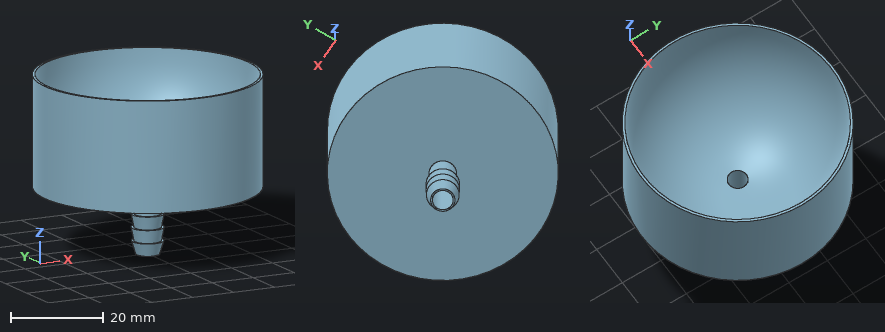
import cadquery as cq

cup_diameter = 50.0
cup_height = cup_diameter / 2
rim_width = 0.6
bowl_radius = cup_diameter / 2 - rim_width

stem_diameter = 6.0
stem_length = 15.0
bore_diameter = 4.5

barb_count = 3
barb_height = 3.0
barb_top_diameter = 7.25
barb_bottom_diameter = 6.0
tip_top_diameter = 7.1
tip_bottom_diameter = 5.25

overlap = 0.5
total_height = stem_length + cup_height


def make_barb(bottom_z, bottom_diameter, top_diameter):
    """Return a cone that widens upward from bottom_z."""
    return cq.Workplane(
        cq.Solid.makeCone(
            bottom_diameter / 2,
            top_diameter / 2,
            barb_height,
            pnt=cq.Vector(0, 0, bottom_z),
        )
    )


cup = cq.Workplane("XY", origin=(0, 0, stem_length)).circle(cup_diameter / 2).extrude(cup_height)

stem = (
    cq.Workplane("XY", origin=(0, 0, barb_height))
    .circle(stem_diameter / 2)
    .extrude(stem_length - barb_height + overlap)
)

body = cup.union(stem).union(make_barb(0, tip_bottom_diameter, tip_top_diameter))
for index in range(1, barb_count):
    body = body.union(make_barb(index * barb_height, barb_bottom_diameter, barb_top_diameter))

bowl = cq.Workplane("XY", origin=(0, 0, total_height)).sphere(bowl_radius)
bore = cq.Workplane("XY").circle(bore_diameter / 2).extrude(total_height)

result = body.cut(bowl).cut(bore)